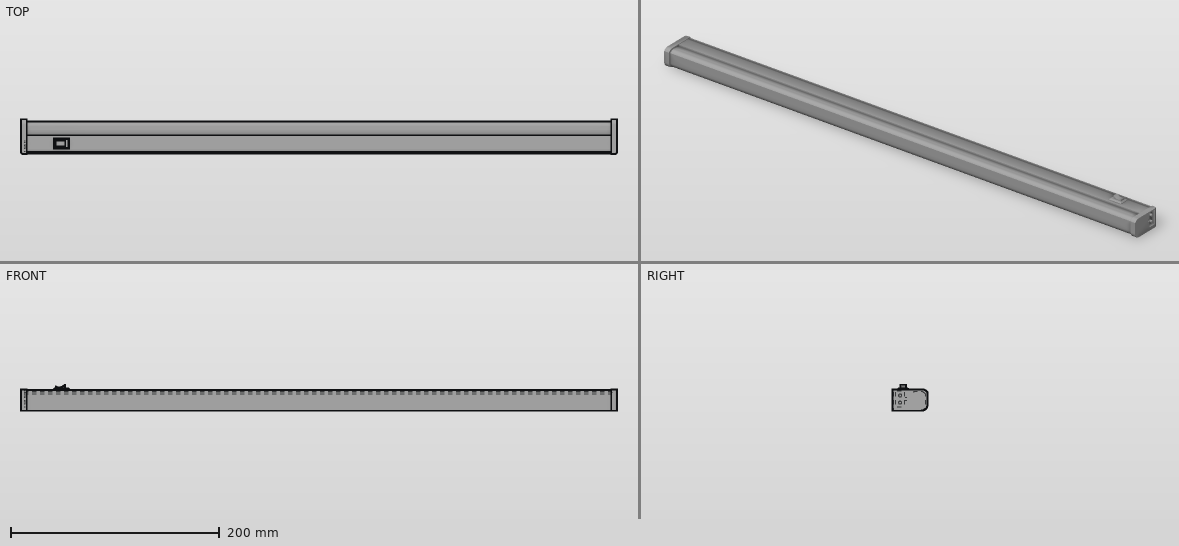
import cadquery as cq
import math

length = 571.0
depth = 33.5
body_height = 20.5
total_height = 25.0

cap_thickness = 5.5
cap_front_radius = 2.0
cap_shoulder_width = 5.0
cap_bottom_radius = 5.5

housing_front_y = 0.5
housing_back_y = depth - 2.0
housing_bottom_radius = 5.0

panel_front_y = 4.5
panel_back_y = 18.0
panel_z = body_height - 0.5

lip_width = 1.5
notch_depth = 0.5

ridge_z = body_height - 1.5
ridge_front_y = 23.5
ridge_back_y = 27.0
slope_drop = 0.85
slope_bulge = 0.1

shoulder_angle = math.radians(60)

frame_x = 39.0
switch_y = 10.0
frame_length = 15.0
frame_width = 10.0
frame_height = 1.5
frame_chamfer = 1.0
rocker_x = 37.5
rocker_length = 9.0
rocker_width = 5.5
rocker_low_z = total_height - 1.5
rocker_dip = 1.5

socket_front_y = 3.0
socket_back_y = 11.5
socket_z = 11.5
socket_height = 15.5
socket_depth = 3.5
key_width = 1.5
key_height = 3.0
pin_diameter = 3.0
pin_spacing = 7.0


def add_shoulder(outline, start_y, start_z, width):
    """Continue an outline with an arc that falls away from a level top toward the back."""
    radius = width / math.sin(shoulder_angle)

    def arc_point(angle):
        return start_y + radius * math.sin(angle), start_z - radius * (1 - math.cos(angle))

    return outline.threePointArc(arc_point(shoulder_angle / 2), arc_point(shoulder_angle))


def make_housing():
    """Constant section: front lip, notch, panel, curved slope, ridge and rounded back."""
    lip_back_y = housing_front_y + lip_width
    slope_middle = (
        (ridge_front_y + panel_back_y) / 2,
        ridge_z - slope_drop / 2 + slope_bulge,
    )
    outline = (
        cq.Workplane("YZ", origin=(cap_thickness, 0, 0))
        .moveTo(housing_front_y, 0)
        .lineTo(housing_front_y, panel_z)
        .lineTo(lip_back_y, panel_z)
        .lineTo(lip_back_y, panel_z - notch_depth)
        .lineTo(panel_front_y, panel_z)
        .lineTo(panel_back_y, panel_z)
        .lineTo(panel_back_y, ridge_z - slope_drop)
        .threePointArc(slope_middle, (ridge_front_y, ridge_z))
        .lineTo(ridge_back_y, ridge_z)
    )
    outline = add_shoulder(outline, ridge_back_y, ridge_z, housing_back_y - ridge_back_y)
    outline = outline.lineTo(housing_back_y, 0).close()
    housing = outline.extrude(length - 2 * cap_thickness)
    return housing.edges("|X and >Y and <Z").fillet(housing_bottom_radius)


def make_cap(start_x, outer_side):
    """End plate with rounded back corners and a rounded outer front edge."""
    shoulder_y = depth - cap_shoulder_width
    outline = (
        cq.Workplane("YZ", origin=(start_x, 0, 0))
        .moveTo(0, 0)
        .lineTo(0, body_height)
        .lineTo(shoulder_y, body_height)
    )
    outline = add_shoulder(outline, shoulder_y, body_height, cap_shoulder_width)
    cap = outline.lineTo(depth, 0).close().extrude(cap_thickness)
    cap = cap.edges("|X and >Y and <Z").fillet(cap_bottom_radius)
    return cap.faces("<Y").edges(outer_side).fillet(cap_front_radius)


def make_switch():
    """Bevelled frame on the panel, carrying a rocker with a hollowed, tilted top."""
    frame = (
        cq.Workplane("XY", origin=(frame_x, switch_y, panel_z))
        .rect(frame_length, frame_width)
        .extrude(frame_height)
        .faces(">Z")
        .chamfer(frame_chamfer)
    )
    left_x = rocker_x - rocker_length / 2
    right_x = rocker_x + rocker_length / 2
    middle_z = (rocker_low_z + total_height) / 2 - rocker_dip
    rocker = (
        cq.Workplane("XZ", origin=(0, switch_y, 0))
        .moveTo(left_x, panel_z)
        .lineTo(left_x, rocker_low_z)
        .threePointArc((rocker_x, middle_z), (right_x, total_height))
        .lineTo(right_x, panel_z)
        .close()
        .extrude(rocker_width / 2, both=True)
    )
    return frame.union(rocker)


def make_socket():
    """Rectangular pocket in the left cap with a key slot on its back side."""
    middle_y = (socket_front_y + socket_back_y) / 2
    pocket = (
        cq.Workplane("YZ", origin=(0, middle_y, socket_z))
        .rect(socket_back_y - socket_front_y, socket_height)
        .extrude(socket_depth)
    )
    key = (
        cq.Workplane("YZ", origin=(0, socket_back_y, socket_z))
        .rect(2 * key_width, key_height)
        .extrude(socket_depth)
    )
    pins = (
        cq.Workplane("YZ", origin=(0, middle_y, socket_z))
        .rarray(5.5, pin_spacing, 1, 2)
        .circle(pin_diameter / 2)
        .extrude(socket_depth)
    )
    return pocket.union(key).cut(pins)


result = (
    make_housing()
    .union(make_cap(0, "<X"))
    .union(make_cap(length - cap_thickness, ">X"))
    .union(make_switch())
    .cut(make_socket())
)